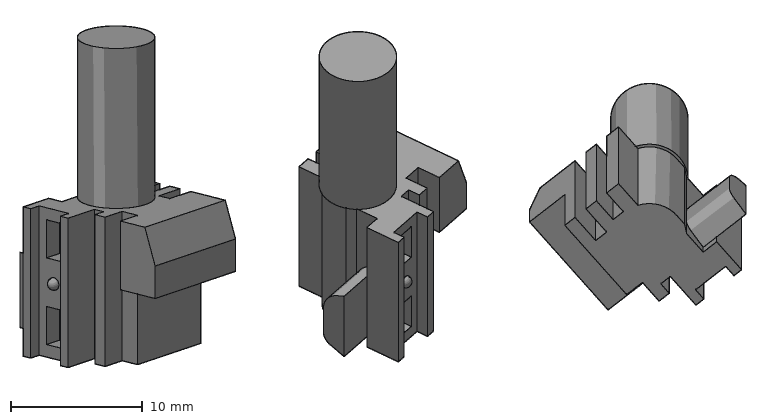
import cadquery as cq

total_height = 24.6
body_height = 11.88
pin_radius = 5.9 / 2
pin_seat_radius = 2.73

back_y = 4.85
front_y = -6.55
body_left_x = -3.7
neck_left_x = -2.35
neck_front_y = -3.57
core_right_x = 4.33
head_front_y = -4.5

head_right_x = 7.82
head_bottom_z = 6.42
bevel_width = 1.03
bevel_height = 2.88

tab_left_x = -6.6
tab_back_y = -1.6
tab_bottom_z = 1.0
tab_top_z = 7.0
tab_slope_drop = 0.79
tab_top_radius = 2.15
tab_bottom_radius = 0.98

channel_left_x = -2.93
channel_right_x = 0.05
channel_floor_y = -5.55
channel_center_x = (channel_left_x + channel_right_x) / 2
window_width = 1.5
window_height = 3.02
window_depth = 1.5
window_bottoms = (1.0, 7.9)
ball_radius = 0.5
ball_z = 5.98

finger_left_x = -0.98
finger_right_x = 0.2
second_finger_left_x = 1.2
second_finger_right_x = 2.24
wide_slot_right_x = 3.32
narrow_slot_floor_y = 2.85
wide_slot_floor_y = 2.39

body_right_x = 0.84
rail_left_x = 1.77
rail_right_x = 2.78
rail_front_y = -4.5
narrow_notch_floor_y = -3.5
wide_notch_floor_y = -2.5

seat_start_y = (pin_seat_radius**2 - finger_left_x**2) ** 0.5
seat_middle = pin_seat_radius / 2**0.5
seat_flat_front_y = -0.89


def make_core():
    """Full-height profile with back fingers and front rails."""
    profile = (
        cq.Workplane("XY")
        .moveTo(finger_left_x, back_y)
        .lineTo(finger_right_x, back_y)
        .lineTo(finger_right_x, narrow_slot_floor_y)
        .lineTo(second_finger_left_x, narrow_slot_floor_y)
        .lineTo(second_finger_left_x, back_y)
        .lineTo(second_finger_right_x, back_y)
        .lineTo(second_finger_right_x, wide_slot_floor_y)
        .lineTo(wide_slot_right_x, wide_slot_floor_y)
        .lineTo(wide_slot_right_x, back_y)
        .lineTo(core_right_x, back_y)
        .lineTo(core_right_x, wide_notch_floor_y)
        .lineTo(rail_right_x, wide_notch_floor_y)
        .lineTo(rail_right_x, rail_front_y)
        .lineTo(rail_left_x, rail_front_y)
        .lineTo(rail_left_x, narrow_notch_floor_y)
        .lineTo(body_right_x, narrow_notch_floor_y)
        .lineTo(body_right_x, front_y)
        .lineTo(channel_right_x, front_y)
        .lineTo(channel_right_x, channel_floor_y)
        .lineTo(channel_left_x, channel_floor_y)
        .lineTo(channel_left_x, front_y)
        .lineTo(body_left_x, front_y)
        .lineTo(body_left_x, neck_front_y)
        .lineTo(neck_left_x, neck_front_y)
        .lineTo(neck_left_x, tab_back_y)
        .lineTo(-pin_seat_radius, seat_flat_front_y)
        .lineTo(-pin_seat_radius, 0)
        .threePointArc((-seat_middle, seat_middle), (finger_left_x, seat_start_y))
        .close()
    )
    return profile.extrude(body_height)


def make_head():
    """Overhanging block with a bevel along its upper right edge."""
    return (
        cq.Workplane("XZ", origin=(0, back_y, 0))
        .moveTo(core_right_x, head_bottom_z)
        .lineTo(head_right_x, head_bottom_z)
        .lineTo(head_right_x, body_height - bevel_height)
        .lineTo(head_right_x - bevel_width, body_height)
        .lineTo(core_right_x, body_height)
        .close()
        .extrude(back_y - head_front_y)
    )


def make_tab():
    """Side tab with sloped ends blended into its back face."""
    tab = (
        cq.Workplane("YZ", origin=(tab_left_x, 0, 0))
        .moveTo(neck_front_y, tab_bottom_z)
        .lineTo(tab_back_y, tab_bottom_z + tab_slope_drop)
        .lineTo(tab_back_y, tab_top_z - tab_slope_drop)
        .lineTo(neck_front_y, tab_top_z)
        .close()
        .extrude(neck_left_x - tab_left_x)
    )
    tab = tab.faces(">Y").edges(">Z").fillet(tab_top_radius)
    return tab.faces(">Y").edges("<Z").fillet(tab_bottom_radius)


def make_window(bottom_z):
    """Rectangular recess cut back from the channel floor."""
    return (
        cq.Workplane("XY")
        .box(window_width, window_depth, window_height, centered=(True, False, False))
        .translate((channel_center_x, channel_floor_y, bottom_z))
    )


pin = (
    cq.Workplane("XY", origin=(0, 0, body_height))
    .circle(pin_radius)
    .extrude(total_height - body_height)
)
ball = cq.Workplane("XY").sphere(ball_radius).translate((channel_center_x, channel_floor_y, ball_z))

result = make_core().union(make_head()).union(make_tab()).union(pin)
for window_bottom in window_bottoms:
    result = result.cut(make_window(window_bottom))
result = result.union(ball)